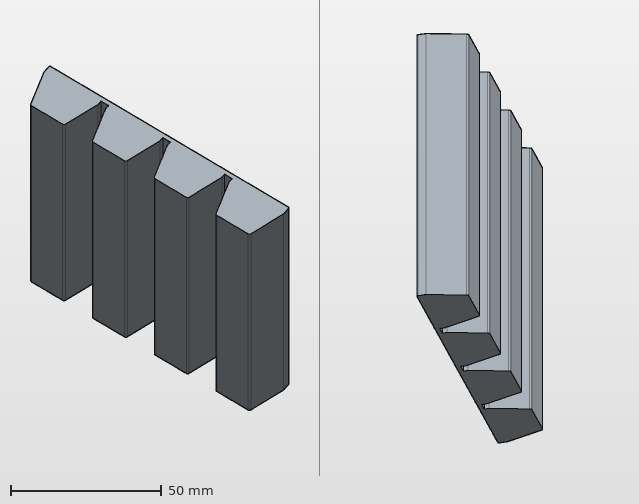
import cadquery as cq
import math

rib_count = 4
rib_width = 22.4
rib_pitch = 25.4
depth = 16.8
height = 101.6

backing_thickness = 1.6
shoulder_depth = 3.3
flank_angle = 17.3
tip_radius = 0.8
back_radius = 0.4

total_width = (rib_count - 1) * rib_pitch + rib_width
back_y = depth / 2
tip_y = -depth / 2
flank_inset = (depth - shoulder_depth) * math.tan(math.radians(flank_angle))


def make_rib(center_x):
    """One full-depth rib with tapered flanks and rounded tip edges."""
    half_root = rib_width / 2
    half_tip = half_root - flank_inset
    shoulder_y = back_y - shoulder_depth
    rib = (
        cq.Workplane("XY")
        .polyline([
            (-half_root, back_y),
            (half_root, back_y),
            (half_root, shoulder_y),
            (half_tip, tip_y),
            (-half_tip, tip_y),
            (-half_root, shoulder_y),
        ])
        .close()
        .extrude(height)
    )
    rib = rib.faces("<Y").edges("|Z").fillet(tip_radius)
    return rib.translate((center_x, 0, 0))


result = cq.Workplane("XY").box(total_width, backing_thickness, height, centered=(True, True, False))
result = result.translate((0, back_y - backing_thickness / 2, 0))

first_rib_x = -(rib_count - 1) * rib_pitch / 2
for index in range(rib_count):
    result = result.union(make_rib(first_rib_x + index * rib_pitch))
result = result.clean()

result = result.faces(">Y").edges("|Z").fillet(back_radius)